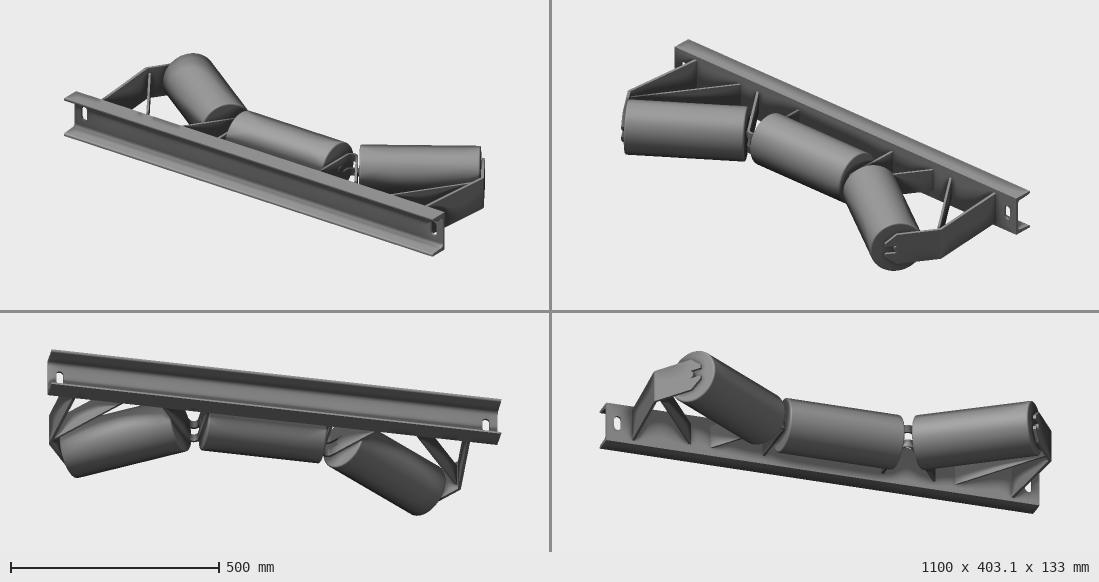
import cadquery as cq
import math


BEAM_LENGTH = 1100.0
BEAM_HEIGHT = 100.0
BEAM_DEPTH = 50.0
WEB_THICKNESS = 6.0
FLANGE_ROOT = 10.0
FLANGE_TIP = 7.0
ROOT_RADIUS = 9.0
TIP_RADIUS = 4.0
MOUNT_SLOT_INSET = 29.0
MOUNT_SLOT_WIDTH = 18.0
MOUNT_SLOT_LENGTH = 36.0

ROLLER_DIAMETER = 133.0
ROLLER_LENGTH = 290.0
ROLLER_EDGE_RADIUS = 4.0
SHAFT_DIAMETER = 20.0
SHAFT_LENGTH = 310.0
TROUGH_ANGLE = 35.0
CENTRE_ROLLER_Y = 117.0
WING_ROLLER_X = 317.0
WING_ROLLER_Y = 217.0

INNER_STRIP_THICKNESS = 6.0
INNER_STRIP_WIDTH = 57.0
CENTRE_ROLLER_GAP = 2.0
WING_ROLLER_GAP = 4.0
INNER_BEND_RADIUS = 16.0
OUTER_STRIP_THICKNESS = 7.2
OUTER_STRIP_WIDTH = 80.0
OUTER_FOOT_X = 485.0
OUTER_LEG_LEAN = 5.0
OUTER_BEND_RADIUS = 9.0
OUTER_TIP_REACH = 32.0
TIP_CUT_LENGTH = 29.0
TIP_CUT_WIDTH = 22.0
STRUT_THICKNESS = 5.0
STRUT_WIDTH = 55.0
STRUT_FOOT_X = 339.0

OUTER_LEG_FAR = SHAFT_LENGTH / 2
OUTER_LEG_NEAR = OUTER_LEG_FAR - OUTER_STRIP_THICKNESS
SIDES = (-1, 1)


def wing_point(along, across):
    """Point in the +X wing roller's frame: along its axis outwards, across it upwards in Y."""
    angle = math.radians(TROUGH_ANGLE)
    x = WING_ROLLER_X + along * math.cos(angle) - across * math.sin(angle)
    y = WING_ROLLER_Y + along * math.sin(angle) + across * math.cos(angle)
    return (x, y)


def on_wing_plane(along, y):
    """Point at height y on the plane square to the wing roller axis at distance along."""
    angle = math.radians(TROUGH_ANGLE)
    across = (y - WING_ROLLER_Y - along * math.sin(angle)) / math.cos(angle)
    return wing_point(along, across)


def wing_plane_at_x(along, x):
    """Point at position x on the plane square to the wing roller axis at distance along."""
    angle = math.radians(TROUGH_ANGLE)
    across = (WING_ROLLER_X + along * math.cos(angle) - x) / math.sin(angle)
    return wing_point(along, across)


def prism(points, width):
    """Closed XY outline extruded symmetrically about Z = 0."""
    return cq.Workplane("XY").polyline(points).close().extrude(width / 2, both=True)


def place_on_wing(shape):
    """Move a shape built about the origin along X to the +X wing roller position."""
    turned = shape.rotate((0, 0, 0), (0, 0, 1), TROUGH_ANGLE)
    return turned.translate((WING_ROLLER_X, WING_ROLLER_Y, 0))


def on_side(shape, side):
    """The +X shape itself, or its mirror image for the -X side."""
    return shape if side > 0 else shape.mirror("YZ")


def make_beam():
    """Channel with tapered flanges towards -Y and an upright mounting slot near each end."""
    half = BEAM_HEIGHT / 2
    outline = [
        (0, -half),
        (-BEAM_DEPTH, -half),
        (-BEAM_DEPTH, -half + FLANGE_TIP),
        (-WEB_THICKNESS, -half + FLANGE_ROOT),
        (-WEB_THICKNESS, half - FLANGE_ROOT),
        (-BEAM_DEPTH, half - FLANGE_TIP),
        (-BEAM_DEPTH, half),
        (0, half),
    ]
    beam = cq.Workplane("YZ").polyline(outline).close().extrude(BEAM_LENGTH / 2, both=True)
    for z_sign in SIDES:
        root = (0, -WEB_THICKNESS, z_sign * (half - FLANGE_ROOT))
        tip = (0, -BEAM_DEPTH, z_sign * (half - FLANGE_TIP))
        beam = beam.edges(cq.NearestToPointSelector(root)).fillet(ROOT_RADIUS)
        beam = beam.edges(cq.NearestToPointSelector(tip)).fillet(TIP_RADIUS)
    slot_x = BEAM_LENGTH / 2 - MOUNT_SLOT_INSET
    slots = (
        cq.Workplane("XZ")
        .pushPoints([(-slot_x, 0), (slot_x, 0)])
        .slot2D(MOUNT_SLOT_LENGTH, MOUNT_SLOT_WIDTH, 90)
        .extrude(WEB_THICKNESS)
    )
    return beam.cut(slots)


def axial_cylinder(diameter, length):
    """Cylinder along X, centred on the origin."""
    start = cq.Workplane("YZ", origin=(-length / 2, 0, 0))
    return start.circle(diameter / 2).extrude(length)


def make_roller():
    """Roller on its shaft, centred on the origin with its axis along X."""
    shell = axial_cylinder(ROLLER_DIAMETER, ROLLER_LENGTH).edges().fillet(ROLLER_EDGE_RADIUS)
    shaft = axial_cylinder(SHAFT_DIAMETER, SHAFT_LENGTH)
    return shell.union(shaft)


def make_shaft_slot():
    """Cutter for a shaft along X through the origin and the slot above it, open towards +Y.

    It overruns the shaft ends far enough to clear the bend of the inner bracket.
    """
    length = SHAFT_LENGTH + 2 * INNER_BEND_RADIUS
    depth = ROLLER_DIAMETER
    channel = cq.Workplane("XY").box(length, depth, SHAFT_DIAMETER).translate((0, depth / 2, 0))
    return channel.union(axial_cylinder(SHAFT_DIAMETER, length))


def bent_wedge(inset):
    """Rounded wedge bounded by the inner bracket's outer faces, shrunk inwards by the inset."""
    upright_x = ROLLER_LENGTH / 2 + CENTRE_ROLLER_GAP + inset
    slant = -(ROLLER_LENGTH / 2 + WING_ROLLER_GAP + inset)
    apex = wing_plane_at_x(slant, upright_x)
    wedge = prism([(upright_x, 0), apex, on_wing_plane(slant, 0)], INNER_STRIP_WIDTH)
    return wedge.edges(cq.NearestToPointSelector((*apex, 0))).fillet(INNER_BEND_RADIUS - inset)


def make_inner_bracket():
    """Strip folded over between the centre roller and the +X wing roller."""
    bracket = bent_wedge(0).cut(bent_wedge(INNER_STRIP_THICKNESS))
    bracket = bracket.cut(make_shaft_slot().translate((0, CENTRE_ROLLER_Y, 0)))
    return bracket.cut(place_on_wing(make_shaft_slot()))


def outer_knee(along, foot_x):
    """Corner where the leaning leg from foot_x meets the wing plane at distance along."""
    lean = math.tan(math.radians(OUTER_LEG_LEAN))
    slope = math.tan(math.radians(TROUGH_ANGLE))
    plane_foot_x = on_wing_plane(along, 0)[0]
    y = (plane_foot_x - foot_x) / (lean + slope)
    return (foot_x + y * lean, y)


def chamfer_tip(bracket):
    """Cut the two corners off the outer bracket's free end."""
    half = OUTER_STRIP_WIDTH / 2
    for z_sign in SIDES:
        corner = (
            cq.Workplane("YZ")
            .polyline([
                (OUTER_TIP_REACH, z_sign * half),
                (OUTER_TIP_REACH - TIP_CUT_LENGTH, z_sign * half),
                (OUTER_TIP_REACH, z_sign * (half - TIP_CUT_WIDTH)),
            ])
            .close()
            .extrude(OUTER_LEG_FAR)
        )
        bracket = bracket.cut(place_on_wing(corner))
    return bracket


def make_outer_bracket():
    """Leaning strip bent inwards to hold the outer end of the +X wing roller."""
    foot_width = OUTER_STRIP_THICKNESS / math.cos(math.radians(OUTER_LEG_LEAN))
    inner_foot_x = OUTER_FOOT_X - foot_width
    outer_corner = outer_knee(OUTER_LEG_FAR, OUTER_FOOT_X)
    inner_corner = outer_knee(OUTER_LEG_NEAR, inner_foot_x)
    outline = [
        (OUTER_FOOT_X, 0),
        outer_corner,
        wing_point(OUTER_LEG_FAR, OUTER_TIP_REACH),
        wing_point(OUTER_LEG_NEAR, OUTER_TIP_REACH),
        inner_corner,
        (inner_foot_x, 0),
    ]
    bracket = prism(outline, OUTER_STRIP_WIDTH)
    bracket = bracket.edges(cq.NearestToPointSelector((*outer_corner, 0))).fillet(OUTER_BEND_RADIUS)
    inner_radius = OUTER_BEND_RADIUS - OUTER_STRIP_THICKNESS
    bracket = bracket.edges(cq.NearestToPointSelector((*inner_corner, 0))).fillet(inner_radius)
    return chamfer_tip(bracket).cut(place_on_wing(make_shaft_slot()))


def make_strut(outer_bracket):
    """Flat brace from the beam to the knee of the outer bracket, leaning out by the trough angle."""
    angle = math.radians(TROUGH_ANGLE)
    half_foot = STRUT_THICKNESS / 2 / math.cos(angle)
    knee = outer_knee(OUTER_LEG_FAR, OUTER_FOOT_X)
    rise = knee[1]
    run = rise * math.tan(angle)
    outline = [
        (STRUT_FOOT_X - half_foot, 0),
        (STRUT_FOOT_X + half_foot, 0),
        (STRUT_FOOT_X + half_foot + run, rise),
        (STRUT_FOOT_X - half_foot + run, rise),
    ]
    return prism(outline, STRUT_WIDTH).cut(outer_bracket)


beam = make_beam()
roller = make_roller()
inner_bracket = make_inner_bracket()
outer_bracket = make_outer_bracket()
strut = make_strut(outer_bracket)

centre_roller = roller.translate((0, CENTRE_ROLLER_Y, 0))
bodies = [beam.val(), centre_roller.val()]
for side in SIDES:
    for part in (place_on_wing(roller), inner_bracket, outer_bracket, strut):
        bodies.extend(on_side(part, side).vals())

result = cq.Compound.makeCompound(bodies)